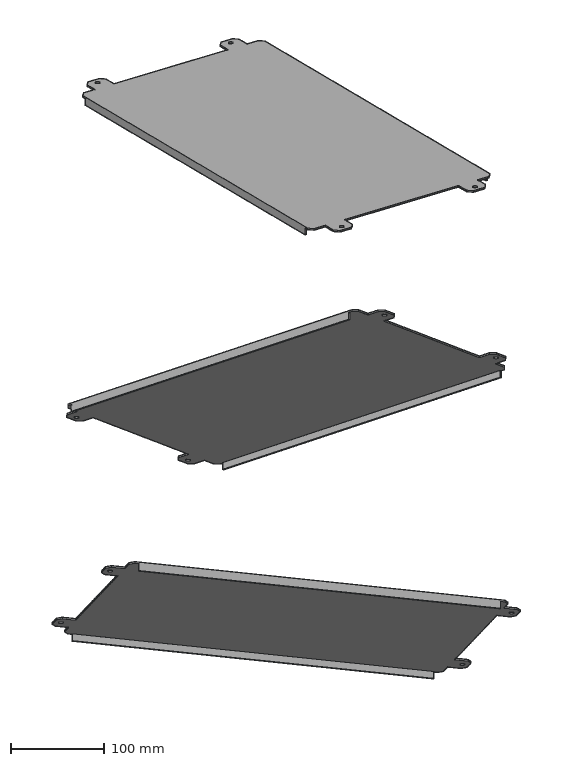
import cadquery as cq

overall_length = 466.0
plate_width = 240.0
overall_height = 10.0
sheet_thickness = 2.0

tab_projection = 20.0
tab_width = 25.0
tab_spacing = 175.0
corner_chamfer = 5.0
hole_diameter = 5.0
hole_edge_distance = 7.5

flange_end_inset = 30.0

plate_length = overall_length - 2 * tab_projection
flange_length = overall_length - 2 * flange_end_inset
hole_spacing = overall_length - 2 * hole_edge_distance


def chamfered_sheet(length, width):
    """Flat sheet with its top face at Z = 0 and four chamfered corners."""
    sheet = cq.Workplane("XY").box(length, width, sheet_thickness, centered=(True, True, False))
    return sheet.translate((0, 0, -sheet_thickness)).edges("|Z").chamfer(corner_chamfer)


def flange(side):
    """Downward flange flush with the long edge on the given side (+1 or -1)."""
    center_y = side * (plate_width - sheet_thickness) / 2
    return (
        cq.Workplane("XY", origin=(0, center_y, -overall_height))
        .rect(flange_length, sheet_thickness)
        .extrude(overall_height)
    )


result = chamfered_sheet(plate_length, plate_width)

for side in (-1, 1):
    tab_strip = chamfered_sheet(overall_length, tab_width)
    result = result.union(tab_strip.translate((0, side * tab_spacing / 2, 0)))
    result = result.union(flange(side))

result = (
    result.faces(">Z")
    .workplane(origin=(0, 0, 0))
    .rect(hole_spacing, tab_spacing, forConstruction=True)
    .vertices()
    .hole(hole_diameter)
)